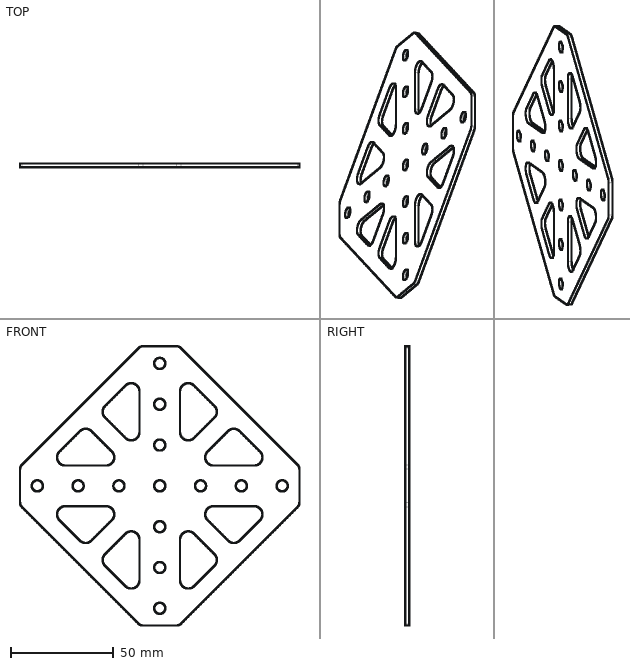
import cadquery as cq

span = 137.0
thickness = 2.0
flat_half_width = 9.5
outer_corner_radius = 3.0

hole_diameter = 5.3
hole_pitch = 20.0
holes_per_arm = 3

window_base_offset = 10.0
window_center_distance = 36.3
window_half_base = 19.6
window_corner_radius = 4.0


def make_plate():
    half = span / 2
    flat = flat_half_width
    outline = [
        (flat, half), (half, flat), (half, -flat), (flat, -half),
        (-flat, -half), (-half, -flat), (-half, flat), (-flat, half),
    ]
    plate = cq.Workplane("XZ").polyline(outline).close().extrude(thickness / 2, both=True)
    return plate.edges("|Y").fillet(outer_corner_radius)


def make_holes():
    positions = [(0, 0)]
    for step in range(1, holes_per_arm + 1):
        distance = step * hole_pitch
        positions += [(distance, 0), (-distance, 0), (0, distance), (0, -distance)]
    return cq.Workplane("XZ").pushPoints(positions).circle(hole_diameter / 2).extrude(thickness, both=True)


def make_window():
    """Right-angled triangle whose long side runs parallel to Z."""
    corners = [
        (window_base_offset, window_center_distance - window_half_base),
        (window_base_offset, window_center_distance + window_half_base),
        (window_base_offset + window_half_base, window_center_distance),
    ]
    window = cq.Workplane("XZ").polyline(corners).close().extrude(thickness, both=True)
    return window.edges("|Y").fillet(window_corner_radius)


result = make_plate().cut(make_holes())

right_window = make_window()
left_window = right_window.mirror("YZ")
for angle in (0, 90, 180, 270):
    for window in (right_window, left_window):
        result = result.cut(window.rotate((0, 0, 0), (0, 1, 0), angle))